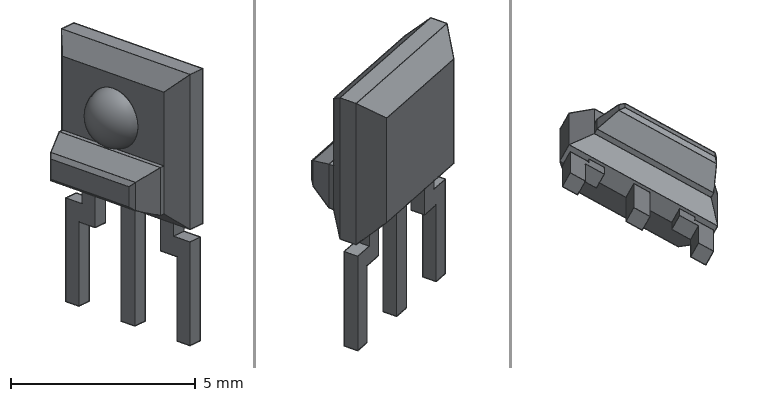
import cadquery as cq

total_height = 8.1
body_side = 4.6
lead_length = total_height - body_side
body_center_z = body_side / 2

back_bevel = 0.6
rim_depth = 0.52
front_bevel_inset = 0.495
front_bevel_depth = 0.52
front_face_y = -(rim_depth + front_bevel_depth)
face_side = body_side - 2 * front_bevel_inset

lens_radius = 0.89
lens_projection = 0.74
lens_center_y = front_face_y + lens_radius - lens_projection
lens_center_z = 2.81

bar_height = 1.425
bar_center_z = front_bevel_inset + bar_height / 2
bar_base_depth = 0.145
bar_taper_depth = 0.69
bar_taper_inset = 0.29
bar_tip_depth = 0.13
bar_tip_inset = 0.12

lead_thickness = 0.44
lead_width = 0.47
center_lead_width = 0.5
lead_top_inner_x = 1.17
lead_foot_outer_x = 2.22
shoulder_top_z = -0.42
shoulder_bottom_z = -1.0


def section(width, height, y, center_z):
    """Rectangle in a plane of constant Y, centred on X = 0."""
    plane = cq.Plane(origin=(0, y, center_z), xDir=(1, 0, 0), normal=(0, -1, 0))
    return cq.Workplane(plane).rect(width, height)


def block(width, height, y, depth, center_z):
    """Straight block growing forward (-Y) from y."""
    return section(width, height, y, center_z).extrude(depth)


def frustum(width, height, y, depth, inset, center_z):
    """Tapered block growing forward from y, its front smaller by inset on every side."""
    return (
        section(width, height, y, center_z)
        .workplane(offset=depth)
        .rect(width - 2 * inset, height - 2 * inset)
        .loft(ruled=True)
    )


def make_body():
    back_side = body_side - 2 * back_bevel
    back = frustum(back_side, back_side, back_bevel, back_bevel, -back_bevel, body_center_z)
    rim = block(body_side, body_side, 0, rim_depth, body_center_z)
    front = frustum(
        body_side, body_side, -rim_depth, front_bevel_depth, front_bevel_inset, body_center_z
    )
    return back.union(rim).union(front)


def make_bar():
    taper_y = front_face_y - bar_base_depth
    tip_y = taper_y - bar_taper_depth
    tip_width = face_side - 2 * bar_taper_inset
    tip_height = bar_height - 2 * bar_taper_inset
    base = block(face_side, bar_height, front_face_y, bar_base_depth, bar_center_z)
    taper = frustum(face_side, bar_height, taper_y, bar_taper_depth, bar_taper_inset, bar_center_z)
    tip = frustum(tip_width, tip_height, tip_y, bar_tip_depth, bar_tip_inset, bar_center_z)
    return base.union(taper).union(tip)


def make_lens():
    ball = cq.Workplane("XY").sphere(lens_radius).translate((0, lens_center_y, lens_center_z))
    front_half = block(body_side, body_side, front_face_y, lens_radius, lens_center_z)
    return ball.intersect(front_half)


def make_outer_lead():
    """Lead on the +X side, stepping outward below the body."""
    lead_top_outer_x = lead_top_inner_x + lead_width
    lead_foot_inner_x = lead_foot_outer_x - lead_width
    outline = [
        (lead_top_inner_x, 0),
        (lead_top_outer_x, 0),
        (lead_top_outer_x, shoulder_top_z),
        (lead_foot_outer_x, shoulder_top_z),
        (lead_foot_outer_x, -lead_length),
        (lead_foot_inner_x, -lead_length),
        (lead_foot_inner_x, shoulder_bottom_z),
        (lead_top_inner_x, shoulder_bottom_z),
    ]
    return cq.Workplane("XZ").polyline(outline).close().extrude(lead_thickness)


center_lead = block(center_lead_width, lead_length, 0, lead_thickness, -lead_length / 2)
outer_lead = make_outer_lead()

result = make_body().union(make_bar()).union(make_lens()).union(center_lead)
for lead in (outer_lead, outer_lead.mirror("YZ")):
    result = result.union(lead)